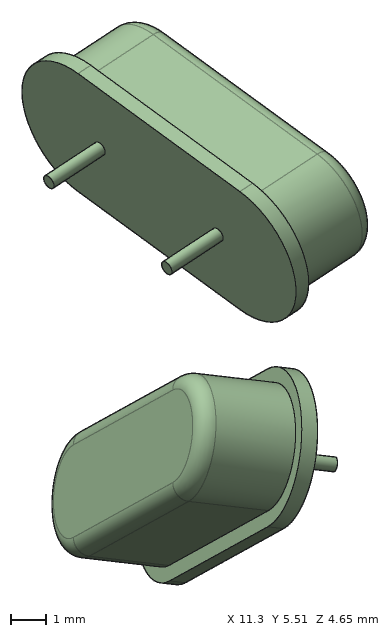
import cadquery as cq

flange_length = 11.35
flange_height = 4.65
flange_thickness = 0.5

can_length = 10.51
can_height = 3.72
can_depth = 3.0
can_edge_radius = 0.5

pin_diameter = 0.43
pin_spacing = 4.88
pin_length = 2.01


def round_ended_block(length, height, depth, start_y):
    """Round-ended block, long along X, that runs from start_y toward +Y."""
    return (
        cq.Workplane("XZ", origin=(0, start_y, 0))
        .slot2D(length, height)
        .extrude(-depth)
    )


def make_housing():
    """Flange and can in one piece, with the rear edge of the can rounded."""
    flange = round_ended_block(flange_length, flange_height, flange_thickness, 0)
    can = round_ended_block(can_length, can_height, can_depth, flange_thickness)
    can = can.faces(">Y").edges().fillet(can_edge_radius)
    return flange.union(can)


def make_pin(center_x):
    """Round pin that runs from the flange face toward -Y."""
    return (
        cq.Workplane("XZ", origin=(center_x, 0, 0))
        .circle(pin_diameter / 2)
        .extrude(pin_length)
    )


housing = make_housing()
pins = [make_pin(side * pin_spacing / 2) for side in (-1, 1)]

result = cq.Compound.makeCompound([housing.val(), *[pin.val() for pin in pins]])